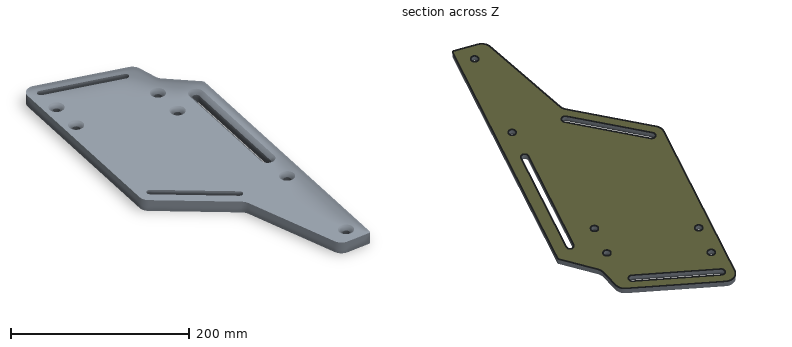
import cadquery as cq
import math

thickness = 15.0
length = 437.93
width = 180.0

left_edge_angle = 75.0
shoulder_angle = 90.0 - left_edge_angle
neck_angle = 50.0
arm_edge_angle = 20.0
right_edge_angle = 55.0

corner_radius = 12.5
small_radius = 2.0

slot_width = 8.4
end_slot_length = 100.0
edge_margin = 15.2
front_row_y = edge_margin
right_slot_x = 222.7

bore_diameter = slot_width
sink_diameter = 18.0
sink_half_angle = 45.0
sink_depth = (sink_diameter - bore_diameter) / 2 / math.tan(math.radians(sink_half_angle))
middle_row_y = 125.0
back_row_y = 160.0
hole_pitch = 40.0
front_hole_x = 32.0
arm_hole_x = 281.9
arm_hole_pitch = 120.0
long_slot_start_x = 96.7
long_slot_length = 145.0

back_left_x = 82.5
shoulder_margin = 21.6
tip_height = 140.0


def direction(angle):
    """Unit vector at an angle in degrees from +X."""
    return math.cos(math.radians(angle)), math.sin(math.radians(angle))


def shifted(point, angle, distance):
    """Point moved by a distance along an angle."""
    along_x, along_y = direction(angle)
    return point[0] + distance * along_x, point[1] + distance * along_y


def crossing(point_a, angle_a, point_b, angle_b):
    """Point where two lines, each given by a point and an angle, cross."""
    ax, ay = direction(angle_a)
    bx, by = direction(angle_b)
    gap_x = point_b[0] - point_a[0]
    gap_y = point_b[1] - point_a[1]
    distance = (gap_x * by - gap_y * bx) / (ax * by - ay * bx)
    return shifted(point_a, angle_a, distance)


left_slot_start = (0.0, front_row_y)
left_slot_end = shifted(left_slot_start, left_edge_angle, end_slot_length)
right_slot_start = (right_slot_x, front_row_y)

left_edge_point = shifted(left_slot_start, left_edge_angle + 90, edge_margin)
right_edge_point = shifted(right_slot_start, right_edge_angle - 90, edge_margin)
shoulder_point = shifted(left_slot_end, shoulder_angle + 90, shoulder_margin)
front_point = (0.0, 0.0)

front_left = crossing(front_point, 0, left_edge_point, left_edge_angle)
front_right = crossing(front_point, 0, right_edge_point, right_edge_angle)
shoulder = crossing(left_edge_point, left_edge_angle, shoulder_point, shoulder_angle)
back_left = (back_left_x, width)
neck = crossing(shoulder_point, shoulder_angle, back_left, neck_angle)

corner_tangent = corner_radius / math.tan(math.radians(left_edge_angle / 2))
left_x = front_left[0] + corner_tangent - corner_radius
right_x = left_x + length
tip_front = (right_x, tip_height)
tip_back = (right_x, width)
elbow = crossing(tip_front, arm_edge_angle, right_edge_point, right_edge_angle)


def make_plate():
    """Extruded outline with its upright edges rounded."""
    outline = [front_left, front_right, elbow, tip_front, tip_back, back_left, neck, shoulder]
    plate = cq.Workplane("XY").polyline(outline).close().extrude(thickness)
    roundings = [
        (front_left, corner_radius),
        (front_right, corner_radius),
        (elbow, corner_radius),
        (tip_front, corner_radius),
        (tip_back, small_radius),
        (back_left, small_radius),
        (neck, corner_radius),
        (shoulder, corner_radius),
    ]
    for corner, radius in roundings:
        corner_edge = cq.selectors.NearestToPointSelector((corner[0], corner[1], thickness / 2))
        plate = plate.edges("|Z").edges(corner_edge).fillet(radius)
    return plate


def end_slot(start, angle):
    """Plain through slot from the centre of its lower end."""
    middle = shifted(start, angle, end_slot_length / 2)
    slot = cq.Workplane("XY").center(*middle)
    return slot.slot2D(end_slot_length + slot_width, slot_width, angle).extrude(thickness)


def countersunk_hole(x, y):
    """Through bore with a conical sink in the top face."""
    bore = cq.Workplane("XY").center(x, y).circle(bore_diameter / 2).extrude(thickness)
    sink = cq.Workplane("XY", origin=(x, y, thickness)).circle(sink_diameter / 2)
    return bore.union(sink.extrude(-sink_depth, taper=sink_half_angle))


def countersunk_slot():
    """Long through slot with sloped flanks in the top face."""
    middle = (long_slot_start_x + long_slot_length / 2, back_row_y)
    bore = cq.Workplane("XY").center(*middle)
    bore = bore.slot2D(long_slot_length + bore_diameter, bore_diameter).extrude(thickness)
    sink = cq.Workplane("XY", origin=(*middle, thickness))
    sink = sink.slot2D(long_slot_length + sink_diameter, sink_diameter)
    return bore.union(sink.extrude(-sink_depth, taper=sink_half_angle))


hole_centres = [
    (front_hole_x, front_row_y),
    (front_hole_x + hole_pitch, front_row_y),
    (front_hole_x + hole_pitch, middle_row_y),
    (front_hole_x + 2 * hole_pitch, middle_row_y),
    (arm_hole_x, back_row_y),
    (arm_hole_x + arm_hole_pitch, back_row_y),
]

result = make_plate()
result = result.cut(end_slot(left_slot_start, left_edge_angle))
result = result.cut(end_slot(right_slot_start, right_edge_angle))
result = result.cut(countersunk_slot())
for hole_x, hole_y in hole_centres:
    result = result.cut(countersunk_hole(hole_x, hole_y))